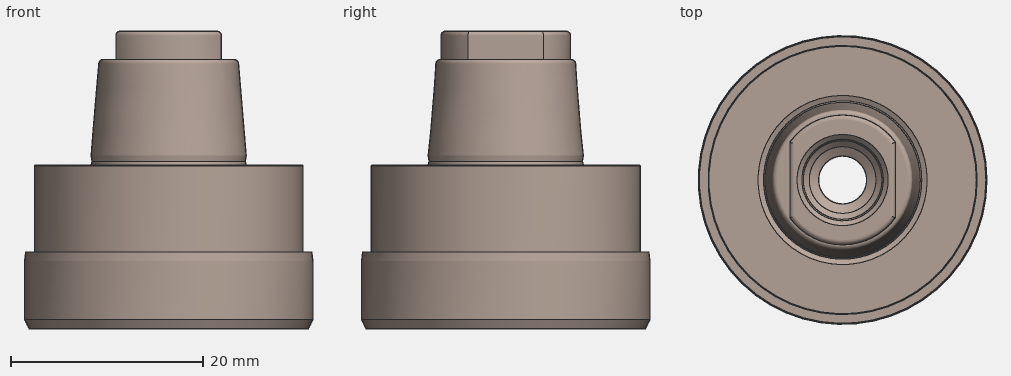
import cadquery as cq

height = 30.95

flange_radius = 15.0
flange_height = 8.02
flange_bottom_chamfer_width = 0.5
flange_bottom_chamfer_height = 1.0
flange_top_bevel_width = 0.12
flange_top_bevel_height = 1.0

body_radius = 14.0
body_top = 17.02
body_edge_chamfer = 0.1

neck_foot_radius = 8.08
neck_taper_start = 18.0
neck_waist_radius = 8.0
neck_waist_z = 17.42
neck_foot_z = 17.0
neck_top = 28.0
neck_top_radius = 7.25
edge_round = 0.5

groove_outer_radius = 8.8
groove_inner_radius = 8.23
groove_depth = 0.25

head_radius = 6.75
head_across_flats = 11.0

mouth_radius = 4.75
mouth_bottom_radius = 4.25
mouth_chamfer_depth = mouth_radius - mouth_bottom_radius
socket_radius = 4.1
socket_start_depth = 0.8
socket_depth = 3.5
pilot_radius = 3.47
pilot_start_depth = socket_depth + socket_radius - pilot_radius
pilot_depth = 5.88
through_radius = 2.48
pilot_cone_height = 0.6
through_start_depth = pilot_depth + pilot_cone_height


def revolve_profile(points):
    """Revolve a closed (radius, z) outline about the Z axis."""
    return cq.Workplane("XZ").polyline(points).close().revolve(360, (0, 0), (0, 1))


def make_base_and_neck():
    outline = [
        (0, 0),
        (flange_radius - flange_bottom_chamfer_width, 0),
        (flange_radius, flange_bottom_chamfer_height),
        (flange_radius, flange_height - flange_top_bevel_height),
        (flange_radius - flange_top_bevel_width, flange_height),
        (body_radius, flange_height),
        (body_radius, body_top - body_edge_chamfer),
        (body_radius - body_edge_chamfer, body_top),
        (groove_outer_radius, body_top),
        (groove_inner_radius, body_top - groove_depth),
        (neck_foot_radius, neck_foot_z),
        (neck_waist_radius, neck_waist_z),
        (neck_foot_radius, neck_taper_start),
        (neck_top_radius, neck_top),
        (0, neck_top),
    ]
    return revolve_profile(outline).faces(">Z").edges().fillet(edge_round)


def make_head():
    head_height = height - neck_top
    head = cq.Workplane("XY").workplane(offset=neck_top).circle(head_radius).extrude(head_height)
    flats = (
        cq.Workplane("XY")
        .workplane(offset=neck_top)
        .rect(head_across_flats, 2 * head_radius)
        .extrude(head_height)
    )
    return head.intersect(flats).faces(">Z").edges().fillet(edge_round)


def make_bore():
    outline = [
        (0, height),
        (mouth_radius, height),
        (mouth_bottom_radius, height - mouth_chamfer_depth),
        (socket_radius, height - socket_start_depth),
        (socket_radius, height - socket_depth),
        (pilot_radius, height - pilot_start_depth),
        (pilot_radius, height - pilot_depth),
        (through_radius, height - through_start_depth),
        (through_radius, 0),
        (0, 0),
    ]
    return revolve_profile(outline)


result = make_base_and_neck().union(make_head()).cut(make_bore())